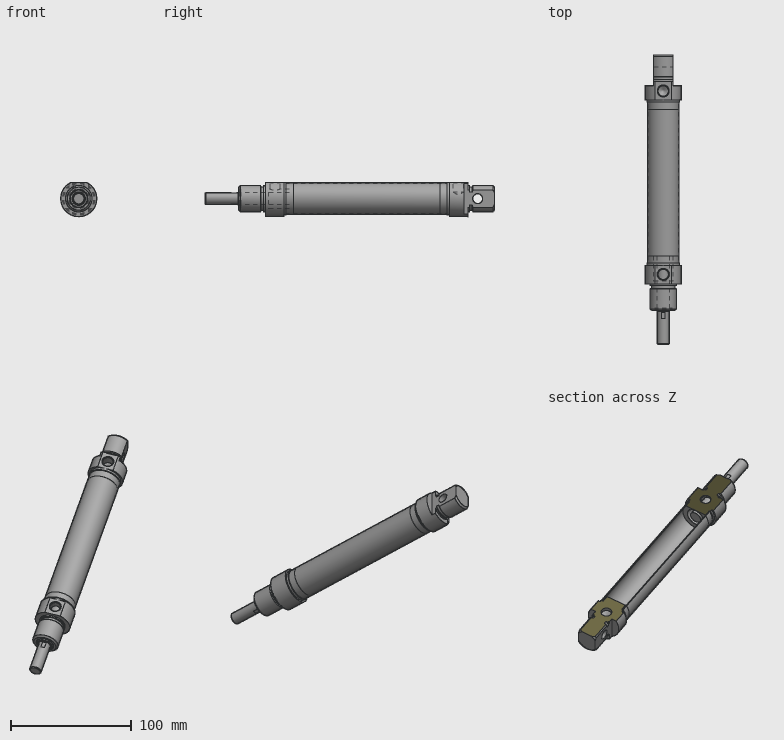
import cadquery as cq
import math


total_length = 240.0
neck_length = 22.0
flange_length = 15.4
rod_reach = 28.0
shoulder_length = 1.9
spigot_length = 6.0

rear_flange_start = neck_length
rear_flange_end = rear_flange_start + flange_length
front_neck_end = total_length - rod_reach
front_flange_end = front_neck_end - neck_length
front_flange_start = front_flange_end - flange_length
rear_tube_end = rear_flange_end + shoulder_length
front_tube_end = front_flange_start - shoulder_length
front_spigot_end = front_tube_end - spigot_length

tube_diameter = 26.5
bore_diameter = 25.0

flange_diameter = 30.0
shoulder_diameter = 27.0
port_face_height = 13.45
neck_diameter = 22.0
neck_chamfer = 1.5
relief_diameter = 19.7
relief_width = 2.2
relief_bevel = 0.6
relief_offset = 1.3

port_diameter = 8.57
port_mouth_diameter = 9.9
port_depth = 8.0
port_tip_angle = 118.0
port_offset = 8.0

tang_width = 16.5
tang_length = 25.5
pivot_diameter = 8.0
pivot_position = 14.0

rod_diameter = 10.0
rod_chamfer = 0.7
chamber_diameter = 16.2
chamber_end = front_flange_end - 2.5
wiper_recess_diameter = 14.1
wiper_mouth_diameter = 15.0
wiper_recess_depth = 2.0
wiper_ring_diameter = 11.1
wiper_lip_diameter = 10.5
wiper_lip_reach = 0.7
wrench_flat_width = 9.5
wrench_flat_start = front_neck_end + 1.4
wrench_flat_end = front_neck_end + 6.5


def disc(start, end, diameter):
    """Cylinder on the Y axis between two distances from the rear end face."""
    return cq.Workplane("XZ", origin=(0, -start, 0)).circle(diameter / 2).extrude(end - start)


def turned(profile):
    """Solid turned about the Y axis from (radius, distance from the rear end face) points."""
    points = [(radius, -distance) for radius, distance in profile]
    return cq.Workplane("XY").polyline(points).close().revolve(360, (0, 0, 0), (0, 1, 0))


def cap_blank(direction, neck_end):
    """Turned end cap: chamfered neck with thread relief, flange and spigot.

    direction is +1 when distance grows from the neck end toward the tube, -1 when it falls.
    """
    relief_end = neck_length - relief_offset
    relief_start = relief_end - relief_width
    flange_inner = neck_length + flange_length
    shoulder_inner = flange_inner + shoulder_length
    spigot_inner = shoulder_inner + spigot_length
    outline = [
        (0, 0),
        (neck_diameter / 2 - neck_chamfer, 0),
        (neck_diameter / 2, neck_chamfer),
        (neck_diameter / 2, relief_start - relief_bevel),
        (relief_diameter / 2, relief_start),
        (relief_diameter / 2, relief_end),
        (neck_diameter / 2, relief_end),
        (neck_diameter / 2, neck_length),
        (flange_diameter / 2, neck_length),
        (flange_diameter / 2, flange_inner),
        (shoulder_diameter / 2, flange_inner),
        (shoulder_diameter / 2, shoulder_inner),
        (bore_diameter / 2, shoulder_inner),
        (bore_diameter / 2, spigot_inner),
        (0, spigot_inner),
    ]
    return turned([(radius, neck_end + direction * step) for radius, step in outline])


def port_face_cut():
    """Slab above the flat that carries the ports."""
    return cq.Workplane("XY").box(
        flange_diameter, total_length, flange_diameter, centered=(True, True, False)
    ).translate((0, -total_length / 2, port_face_height))


def port_cut(position):
    """Drilled port with a chamfered mouth and a conical floor, entering from the flat."""
    radius = port_diameter / 2
    mouth_radius = port_mouth_diameter / 2
    mouth_chamfer = mouth_radius - radius
    floor = port_face_height - port_depth
    tip = floor - radius / math.tan(math.radians(port_tip_angle / 2))
    outline = [
        (0, port_face_height),
        (mouth_radius, port_face_height),
        (radius, port_face_height - mouth_chamfer),
        (radius, floor),
        (0, tip),
    ]
    drill = cq.Workplane("XZ").polyline(outline).close().revolve(360, (0, 0, 0), (0, 1, 0))
    return drill.translate((0, -position, 0))


def make_rear_cap():
    cap = cap_blank(1, 0).cut(port_face_cut())
    cap = cap.cut(port_cut(rear_flange_start + port_offset))
    for side in (-1, 1):
        cheek = cq.Workplane("XY").box(flange_diameter, tang_length, flange_diameter)
        offset = side * (tang_width + flange_diameter) / 2
        cap = cap.cut(cheek.translate((offset, -tang_length / 2, 0)))
    pivot = (
        cq.Workplane("YZ").center(-pivot_position, 0).circle(pivot_diameter / 2)
        .extrude(tang_width, both=True)
    )
    return cap.cut(pivot)


def make_tube():
    wall = disc(rear_tube_end, front_tube_end, tube_diameter)
    return wall.cut(disc(rear_tube_end, front_tube_end, bore_diameter))


def make_front_cap():
    cap = cap_blank(-1, front_neck_end).cut(port_face_cut())
    cap = cap.cut(port_cut(front_flange_end - port_offset))
    cap = cap.cut(disc(front_spigot_end, chamber_end, chamber_diameter))
    mouth_chamfer = (wiper_mouth_diameter - wiper_recess_diameter) / 2
    recess_floor = front_neck_end - wiper_recess_depth
    recess = [
        (0, front_neck_end),
        (wiper_mouth_diameter / 2, front_neck_end),
        (wiper_recess_diameter / 2, front_neck_end - mouth_chamfer),
        (wiper_recess_diameter / 2, recess_floor),
        (0, recess_floor),
    ]
    lip_tip = front_neck_end + wiper_lip_reach
    wiper_lip = [
        (0, recess_floor),
        (wiper_ring_diameter / 2, recess_floor),
        (wiper_ring_diameter / 2, front_neck_end),
        (wiper_lip_diameter / 2, front_neck_end),
        (rod_diameter / 2, lip_tip),
        (0, lip_tip),
    ]
    cap = cap.cut(turned(recess)).union(turned(wiper_lip))
    return cap.cut(disc(front_spigot_end, lip_tip, rod_diameter))


def make_rod():
    rod = disc(front_spigot_end, total_length, rod_diameter)
    rod = rod.faces("<Y").chamfer(rod_chamfer)
    flat_length = wrench_flat_end - wrench_flat_start
    for side in (-1, 1):
        flat = cq.Workplane("XY").box(rod_diameter, flat_length, rod_diameter)
        height = side * (wrench_flat_width + rod_diameter) / 2
        rod = rod.cut(flat.translate((0, -(wrench_flat_start + wrench_flat_end) / 2, height)))
    return rod


rear_cap = make_rear_cap()
tube = make_tube()
front_cap = make_front_cap()
rod = make_rod()

result = cq.Compound.makeCompound([rear_cap.val(), tube.val(), front_cap.val(), rod.val()])